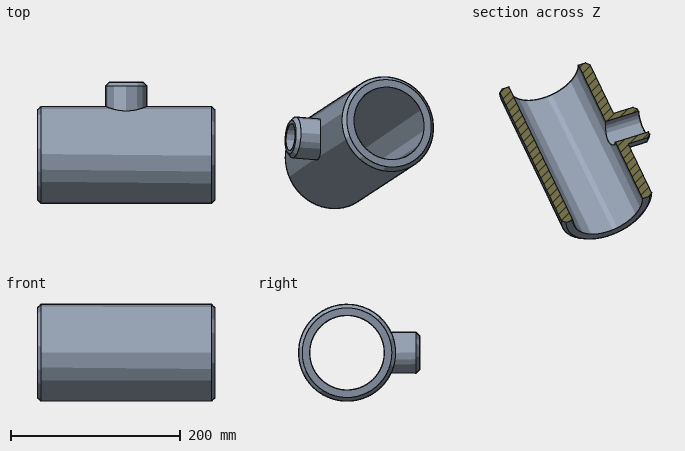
import cadquery as cq

pipe_length = 209.3
pipe_diameter = 114.3
pipe_bore = 87.5

branch_reach = 85.8
branch_diameter = 48.3
branch_wall = 8.4
branch_bore = branch_diameter - 2 * branch_wall

bevel = 4.4


def main_pipe_body():
    body = cq.Workplane("YZ").circle(pipe_diameter / 2).extrude(pipe_length / 2, both=True)
    return body.edges("%CIRCLE").chamfer(bevel)


def branch_cylinder(diameter):
    """Cylinder from the main axis to the branch end face."""
    return cq.Workplane("XZ").circle(diameter / 2).extrude(-branch_reach)


branch_body = branch_cylinder(branch_diameter).faces(">Y").chamfer(bevel)
main_bore = cq.Workplane("YZ").circle(pipe_bore / 2).extrude(pipe_length / 2, both=True)

result = main_pipe_body().union(branch_body).cut(main_bore).cut(branch_cylinder(branch_bore))